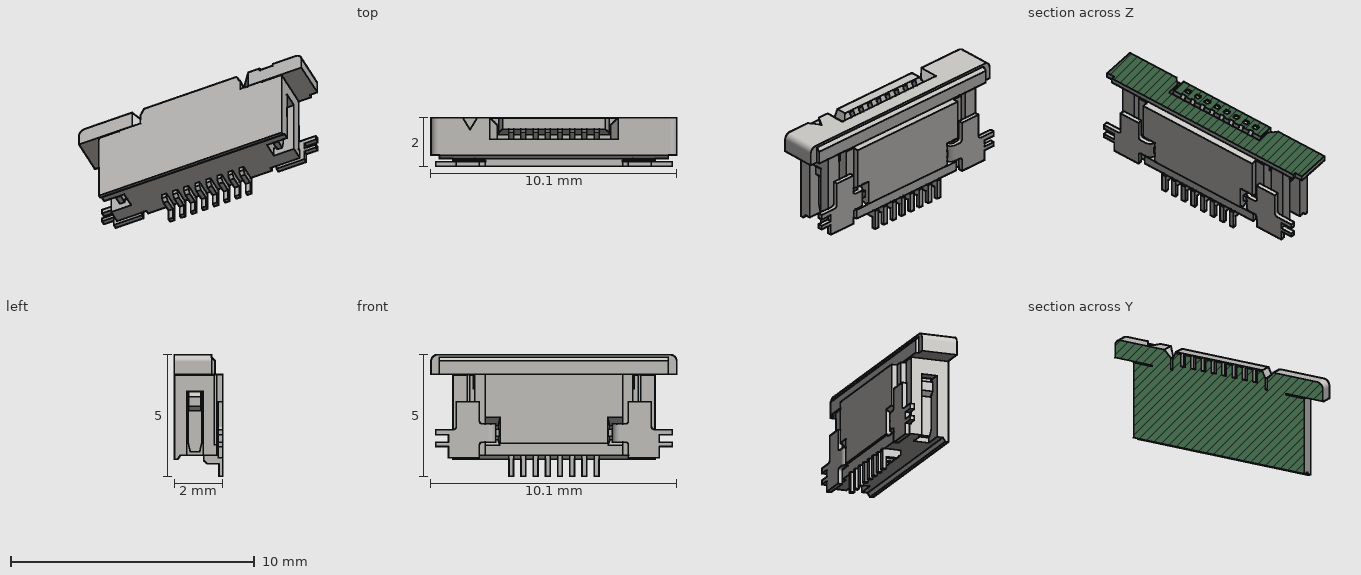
import cadquery as cq
import math


LENGTH = 10.1
DEPTH = 2.0
TOP = 5.0
CAP_BOTTOM = 4.18
CAP_FRONT = 0.45
CAP_CORNER_RADIUS = 0.29
LIP_HALF_LENGTH = 4.7
LIP_FRONT = 0.31
LIP_TOP = 4.89
LIP_CHAMFER = CAP_FRONT - LIP_FRONT
NOTCH_HALF_TOP = 2.64
NOTCH_HALF_BOTTOM = 2.32
NOTCH_FRONT = 1.11
NOTCH_SLOPE = NOTCH_HALF_TOP - NOTCH_HALF_BOTTOM
MARK_X = -3.44
MARK_WIDTH = 0.61
MARK_LENGTH = 0.5
MARK_DEPTH = 0.1

HOUSING_HALF = 4.15
HOUSING_FRONT = 0.24
HOUSING_BACK = 1.99
HOUSING_BOTTOM = 0.86
POST_TOP = 4.15
POST_FRONT = 0.34
POST_INNER_X = 3.56
CORE_HALF = 3.24
FOOT_TOP = 1.3
RIM_BOTTOM = 0.7
RIM_THICKNESS = 0.14
RIM_SLOPE_RUN = 0.11
RIB_WIDTH = 0.06
RIB_FRONT = 0.62
RIB_BOTTOM = 3.6

SLOT_FRONT = 0.81
SLOT_BACK = 1.47
SLOT_TOP = 3.48
LEAF_OUTER_X = 3.69
LEAF_INNER_X = 3.46
LEAF_FRONT = 0.87
LEAF_BACK = 1.41
LEAF_BOTTOM = 1.0
LEAF_TAPER_LENGTH = 0.34
LEAF_TAPER = 0.08
BUMP_HEIGHT = 0.19
BUMP_BOTTOM = 2.69
BUMP_TOP = 3.46
BUMP_FRONT = 0.9
BUMP_BACK = 1.39

BLOCK_TOP = 4.99
BLOCK_HALF = 2.26
BLOCK_TOP_HALF = 2.1
BLOCK_FRONT = 1.29
BLOCK_TOP_FRONT = 1.53
BLOCK_FRONT_SLOPE = 0.56
BLOCK_END_SLOPE = 0.32

PLATE_HALF = 2.82
BAR_SETBACK = 0.08
BAR_TOP = 1.36
WINDOW_INNER_X = 2.21
WINDOW_BOTTOM = 1.24
WINDOW_TOP = 2.42
WINDOW_DEPTH = 0.5
WINDOW_SIDE_TAPER = 0.08
WINDOW_BOTTOM_RISE = 0.25
WINDOW_TOP_DROP = 0.35

CONTACT_COUNT = 8
PITCH = 0.5
CONTACT_WIDTH = 0.2
LEG_THICKNESS = 0.16
LEG_TOP = HOUSING_BOTTOM
SHANK_BOTTOM = 0.52
SHANK_BACK = 0.79
SHANK_CHAMFER = 0.14
CONTACT_PEAK_Y = 1.4
CONTACT_PEAK_Z = 4.44
CONTACT_TIP_DROP = 0.1
CONTACT_GAP_BACK = 1.72
CONTACT_GAP_ROOF = 0.05

TAB_THICKNESS = 0.19
TAB_BOTTOM = 0.76
TAB_TOP = 3.07
TAB_FILLET = 0.13
TAB_OUTER_X = 4.33
TAB_UPPER_OUTER_X = 4.0
TAB_INNER_X = 3.06
ARM_TIP_X = 4.86
UPPER_ARM = (1.7, 1.92)
LOWER_ARM = (1.22, 1.4)
TONGUE_BOTTOM = 1.4
TONGUE_TOP = 2.15
BEND_RADIUS = 0.3
BEND_TIP_X = 2.39
TONGUE_BACK = 0.61
TIP_INNER_X = 2.18
TIP_FRONT = 0.16
TIP_BOTTOM = 1.65
TIP_TOP = 1.93


def box(x, y, z):
    """Box spanning the given (low, high) ranges."""
    size = [high - low for low, high in (x, y, z)]
    return cq.Workplane("XY").box(*size, centered=False).translate((x[0], y[0], z[0]))


def mirrored(solid):
    """The solid together with its mirror image across X = 0."""
    return solid.union(solid.mirror("YZ"))


def along_x(points, x_low, x_high):
    """Prism of a (Y, Z) outline between two X positions."""
    prism = cq.Workplane("YZ").polyline(points).close().extrude(x_high - x_low)
    return prism.translate((x_low, 0, 0))


def along_y(points, y_low, y_high):
    """Prism of an (X, Z) outline between two Y positions."""
    prism = cq.Workplane("XZ").polyline(points).close().extrude(y_low - y_high)
    return prism.translate((0, y_low, 0))


def along_z(points, z_low, z_high):
    """Prism of an (X, Y) outline between two Z positions."""
    return cq.Workplane("XY").workplane(offset=z_low).polyline(points).close().extrude(z_high - z_low)


def contact_positions():
    """X positions of the contact centres."""
    first = -PITCH * (CONTACT_COUNT - 1) / 2
    return [first + index * PITCH for index in range(CONTACT_COUNT)]


def make_cap():
    half = LENGTH / 2
    bar = box((-half, half), (CAP_FRONT, DEPTH), (CAP_BOTTOM, TOP))
    bar = bar.edges("|Y and >Z").fillet(CAP_CORNER_RADIUS)
    lip_profile = [
        (CAP_FRONT, CAP_BOTTOM),
        (LIP_FRONT, CAP_BOTTOM),
        (LIP_FRONT, LIP_TOP - LIP_CHAMFER),
        (CAP_FRONT, LIP_TOP),
    ]
    lip = along_x(lip_profile, -LIP_HALF_LENGTH, LIP_HALF_LENGTH)

    notch_profile = [
        (-NOTCH_HALF_BOTTOM, CAP_BOTTOM),
        (NOTCH_HALF_BOTTOM, CAP_BOTTOM),
        (NOTCH_HALF_BOTTOM, TOP - NOTCH_SLOPE),
        (NOTCH_HALF_TOP, TOP),
        (-NOTCH_HALF_TOP, TOP),
        (-NOTCH_HALF_BOTTOM, TOP - NOTCH_SLOPE),
    ]
    notch = along_y(notch_profile, NOTCH_FRONT, DEPTH)
    corner = [
        (NOTCH_HALF_BOTTOM, DEPTH),
        (NOTCH_HALF_TOP, DEPTH),
        (NOTCH_HALF_BOTTOM, DEPTH - NOTCH_SLOPE),
    ]
    corner_cuts = mirrored(along_z(corner, CAP_BOTTOM, TOP))

    mark = [
        (MARK_X - MARK_WIDTH / 2, DEPTH),
        (MARK_X + MARK_WIDTH / 2, DEPTH),
        (MARK_X, DEPTH - MARK_LENGTH),
    ]
    pin_one_mark = along_z(mark, TOP - MARK_DEPTH, TOP)
    return bar.union(lip).cut(notch).cut(corner_cuts).cut(pin_one_mark)


def make_housing():
    rim_inner = HOUSING_BACK - RIM_THICKNESS
    profile = [
        (HOUSING_FRONT, HOUSING_BOTTOM),
        (rim_inner - RIM_SLOPE_RUN, HOUSING_BOTTOM),
        (rim_inner, RIM_BOTTOM),
        (HOUSING_BACK, RIM_BOTTOM),
        (HOUSING_BACK, POST_TOP),
        (HOUSING_FRONT, POST_TOP),
    ]
    body = along_x(profile, -HOUSING_HALF, HOUSING_HALF)
    core_top = box((-CORE_HALF, CORE_HALF), (HOUSING_FRONT, HOUSING_BACK), (POST_TOP, CAP_BOTTOM))

    post_step = box((CORE_HALF, HOUSING_HALF), (HOUSING_FRONT, POST_FRONT), (FOOT_TOP, POST_TOP))
    groove = box((CORE_HALF, POST_INNER_X), (HOUSING_FRONT, SLOT_BACK), (FOOT_TOP, POST_TOP))
    slot = box((CORE_HALF, HOUSING_HALF), (SLOT_FRONT, SLOT_BACK), (HOUSING_BOTTOM, SLOT_TOP))
    rib = box((CORE_HALF, CORE_HALF + RIB_WIDTH), (RIB_FRONT, SLOT_BACK), (RIB_BOTTOM, CAP_BOTTOM))
    end_cuts = post_step.union(groove).union(slot)
    return body.union(core_top).cut(mirrored(end_cuts)).union(mirrored(rib))


def make_leaf():
    """Latch leaf hanging from the cap at the +X end, with an outward bump."""
    taper_top = LEAF_BOTTOM + LEAF_TAPER_LENGTH
    leaf_profile = [
        (LEAF_FRONT, CAP_BOTTOM),
        (LEAF_FRONT, taper_top),
        (LEAF_FRONT + LEAF_TAPER, LEAF_BOTTOM),
        (LEAF_BACK - LEAF_TAPER, LEAF_BOTTOM),
        (LEAF_BACK, taper_top),
        (LEAF_BACK, CAP_BOTTOM),
    ]
    bump_profile = [
        (LEAF_OUTER_X, BUMP_BOTTOM),
        (LEAF_OUTER_X + BUMP_HEIGHT, BUMP_BOTTOM + BUMP_HEIGHT),
        (LEAF_OUTER_X + BUMP_HEIGHT, BUMP_TOP - BUMP_HEIGHT),
        (LEAF_OUTER_X, BUMP_TOP),
    ]
    leaf = along_x(leaf_profile, LEAF_INNER_X, LEAF_OUTER_X)
    return leaf.union(along_y(bump_profile, BUMP_FRONT, BUMP_BACK))


def make_contact_block():
    front_slope_bottom = BLOCK_TOP - BLOCK_FRONT_SLOPE
    end_slope_bottom = BLOCK_TOP - BLOCK_END_SLOPE
    side_profile = [
        (BLOCK_FRONT, CAP_BOTTOM),
        (BLOCK_FRONT, front_slope_bottom),
        (BLOCK_TOP_FRONT, BLOCK_TOP),
        (HOUSING_BACK, BLOCK_TOP),
        (HOUSING_BACK, CAP_BOTTOM),
    ]
    end_profile = [
        (-BLOCK_HALF, CAP_BOTTOM),
        (BLOCK_HALF, CAP_BOTTOM),
        (BLOCK_HALF, end_slope_bottom),
        (BLOCK_TOP_HALF, BLOCK_TOP),
        (-BLOCK_TOP_HALF, BLOCK_TOP),
        (-BLOCK_HALF, end_slope_bottom),
    ]
    block = along_x(side_profile, -BLOCK_HALF, BLOCK_HALF)
    return block.intersect(along_y(end_profile, BLOCK_FRONT, HOUSING_BACK))


def make_plate():
    """Front plate with a set-back bar along its lower edge."""
    profile = [
        (BAR_SETBACK, HOUSING_BOTTOM),
        (BAR_SETBACK, BAR_TOP),
        (0, BAR_TOP),
        (0, CAP_BOTTOM),
        (HOUSING_FRONT, CAP_BOTTOM),
        (HOUSING_FRONT, HOUSING_BOTTOM),
    ]
    return along_x(profile, -PLATE_HALF, PLATE_HALF)


def make_windows():
    """Pockets at the lower plate corners, their floors, ceilings and inner walls tapering."""
    profile = [
        (0, WINDOW_BOTTOM),
        (0, WINDOW_TOP),
        (WINDOW_DEPTH, WINDOW_TOP - WINDOW_TOP_DROP),
        (WINDOW_DEPTH, WINDOW_BOTTOM + WINDOW_BOTTOM_RISE),
    ]
    plan = [
        (WINDOW_INNER_X, 0),
        (PLATE_HALF, 0),
        (PLATE_HALF, WINDOW_DEPTH),
        (WINDOW_INNER_X + WINDOW_SIDE_TAPER, WINDOW_DEPTH),
    ]
    window = along_x(profile, WINDOW_INNER_X, PLATE_HALF)
    return mirrored(window.intersect(along_z(plan, WINDOW_BOTTOM, WINDOW_TOP)))


def make_contact_gap(x):
    """Slot through the sloped front of the contact block."""
    half = CONTACT_WIDTH / 2
    roof = BLOCK_TOP - CONTACT_GAP_ROOF
    return box((x - half, x + half), (BLOCK_FRONT, CONTACT_GAP_BACK), (CAP_BOTTOM, roof))


def make_contact(x):
    """Solder leg and shank below the housing, and the wedge tip in the contact block."""
    half = CONTACT_WIDTH / 2
    leg_profile = [
        (0, 0),
        (LEG_THICKNESS, 0),
        (LEG_THICKNESS, SHANK_BOTTOM),
        (SHANK_BACK - SHANK_CHAMFER, SHANK_BOTTOM),
        (SHANK_BACK, SHANK_BOTTOM + SHANK_CHAMFER),
        (SHANK_BACK, LEG_TOP),
        (0, LEG_TOP),
    ]
    tip_profile = [
        (NOTCH_FRONT, CAP_BOTTOM),
        (CONTACT_PEAK_Y, CONTACT_PEAK_Z),
        (CONTACT_GAP_BACK, CONTACT_PEAK_Z - CONTACT_TIP_DROP),
        (CONTACT_GAP_BACK, CAP_BOTTOM),
    ]
    leg = along_x(leg_profile, x - half, x + half)
    return leg, along_x(tip_profile, x - half, x + half)


def make_tab():
    """Solder tab at the +X end, with a tongue bent back into the plate window."""
    bend_start = BEND_TIP_X + BEND_RADIUS
    lower = box((TAB_INNER_X, TAB_OUTER_X), (0, TAB_THICKNESS), (TAB_BOTTOM, UPPER_ARM[1]))
    upper = box((TAB_INNER_X, TAB_UPPER_OUTER_X), (0, TAB_THICKNESS), (UPPER_ARM[1], TAB_TOP))
    tongue = box((bend_start, TAB_INNER_X), (0, TAB_THICKNESS), (TONGUE_BOTTOM, TONGUE_TOP))
    tab = lower.union(upper).union(tongue)
    for arm_z in (UPPER_ARM, LOWER_ARM):
        tab = tab.union(box((TAB_OUTER_X, ARM_TIP_X), (0, TAB_THICKNESS), arm_z))
    inside_corners = [
        (TAB_INNER_X, TONGUE_BOTTOM),
        (TAB_INNER_X, TONGUE_TOP),
        (TAB_UPPER_OUTER_X, UPPER_ARM[1]),
    ]
    for x, z in inside_corners:
        nearest = cq.selectors.NearestToPointSelector((x, TAB_THICKNESS / 2, z))
        tab = tab.edges("|Y").edges(nearest).fillet(TAB_FILLET)

    inner_radius = BEND_RADIUS - TAB_THICKNESS
    diagonal = math.sqrt(0.5)
    bend = (
        cq.Workplane("XY")
        .workplane(offset=TONGUE_BOTTOM)
        .moveTo(bend_start, 0)
        .threePointArc(
            (bend_start - BEND_RADIUS * diagonal, BEND_RADIUS * (1 - diagonal)),
            (BEND_TIP_X, BEND_RADIUS),
        )
        .lineTo(BEND_TIP_X, TONGUE_BACK)
        .lineTo(BEND_TIP_X + TAB_THICKNESS, TONGUE_BACK)
        .lineTo(BEND_TIP_X + TAB_THICKNESS, BEND_RADIUS)
        .threePointArc(
            (bend_start - inner_radius * diagonal, BEND_RADIUS - inner_radius * diagonal),
            (bend_start, TAB_THICKNESS),
        )
        .close()
        .extrude(TONGUE_TOP - TONGUE_BOTTOM)
    )
    tip = box((TIP_INNER_X, BEND_TIP_X), (TIP_FRONT, WINDOW_DEPTH), (TIP_BOTTOM, TIP_TOP))
    return tab.union(bend).union(tip)


result = make_housing().union(make_plate()).cut(make_windows())
result = result.union(make_cap()).union(make_contact_block()).union(mirrored(make_leaf()))
for contact_x in contact_positions():
    result = result.cut(make_contact_gap(contact_x))
    for piece in make_contact(contact_x):
        result = result.union(piece)
result = result.union(mirrored(make_tab()))